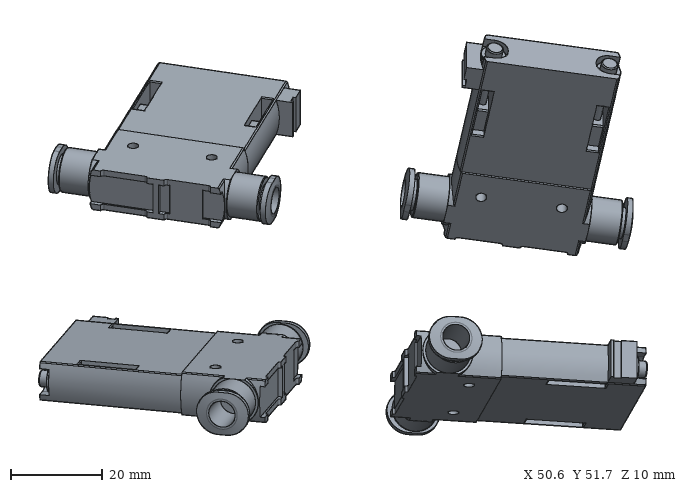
import cadquery as cq
import math


half_width = 15.5
side_radius = 12.95
body_half_height = 10.0 / 2
cover_half_height = 4.5
edge_drop = 0.2
edge_inset = 0.35

split_y = 19.05
cover_end_y = 51.3
screw_top_y = 51.7

recess_depth = 0.55
recess_inner_x = 1.95
recess_outer_x = 12.55
pocket_depth = 1.05
pocket_half_height = 3.55
outer_reach = 20.7
pocket_spans = [(-outer_reach, -0.55), (0.7, 3.05), (10.55, outer_reach)]

mount_hole_diameter = 2.4
mount_hole_x = 9.0
mount_hole_y = 12.95

port_y = 6.9
port_root_x = 12.95
boss_diameter = 11.15
boss_face_x = 15.8
sleeve_diameter = 2 * body_half_height
sleeve_end_x = 22.8
sleeve_chamfer = 0.2

collet_end_x = 50.6 / 2
neck_diameter = 7.0
bore_diameter = 6.0
flange_back_x = 23.7
flange_edge_x = 24.85
flange_width = 11.8
flange_height = 9.8

clamp_x = 12.75
recess_diameter = 6.0
recess_floor_y = 49.1
collar_diameter = 5.7
collar_thickness = 0.5
collar_chamfer = 0.1
head_diameter = 3.7
head_chamfer = 0.25
shank_diameter = 1.65
slot_width = 2.7
slot_front_y = 29.9
slot_back_y = 42.75
slot_chamfer = 0.25
nut_back_y = 35.75
nut_half_height = 2.65
nut_chamfer = 0.3

connector_front_y = 42.75
connector_back_y = 48.6
connector_end_x = 18.55
connector_half_height = cover_half_height - edge_drop
connector_root_x = 14.2
notch_floor_x = 17.95
notch_front_y = 43.4
notch_back_y = 45.15


def side_x(z):
    """Half width of the barrel-shaped housing at height z."""
    return half_width - side_radius + math.sqrt(side_radius**2 - z**2)


def barrel(half_height, y_start, y_end):
    """Housing section with bulging sides and bevelled long edges."""
    edge_z = half_height - edge_drop
    edge_x = side_x(edge_z)
    top_x = edge_x - edge_inset
    return (
        cq.Workplane("XZ", origin=(0, y_start, 0))
        .moveTo(-top_x, half_height)
        .lineTo(top_x, half_height)
        .lineTo(edge_x, edge_z)
        .threePointArc((half_width, 0), (edge_x, -edge_z))
        .lineTo(top_x, -half_height)
        .lineTo(-top_x, -half_height)
        .lineTo(-edge_x, -edge_z)
        .threePointArc((-half_width, 0), (-edge_x, edge_z))
        .close()
        .extrude(y_start - y_end)
    )


def block(x_range, y_range, half_height):
    """Box symmetric about Z = 0."""
    (x0, x1), (y0, y1) = x_range, y_range
    return (
        cq.Workplane("XY", origin=((x0 + x1) / 2, (y0 + y1) / 2, 0))
        .box(x1 - x0, y1 - y0, 2 * half_height)
    )


def x_cylinder(diameter, x_start, x_end):
    """Cylinder on the +X port axis."""
    return (
        cq.Workplane("YZ", origin=(x_start, port_y, 0))
        .circle(diameter / 2)
        .extrude(x_end - x_start)
    )


def y_cylinder(diameter, x, y_start, y_end):
    """Cylinder along Y at height zero."""
    return (
        cq.Workplane("XZ", origin=(x, y_start, 0))
        .circle(diameter / 2)
        .extrude(y_start - y_end)
    )


def both_sides(part):
    """The part and its copy mirrored to the other side of X = 0."""
    return [part, part.mirror("YZ")]



def front_recess():
    """Shallow recess on the +X half of the front face, with concave rounded ends."""
    corner = recess_depth * (1 - math.sqrt(0.5))
    return (
        cq.Workplane("XY", origin=(0, 0, -body_half_height))
        .moveTo(recess_inner_x, 0)
        .threePointArc(
            (recess_inner_x + corner, recess_depth - corner),
            (recess_inner_x + recess_depth, recess_depth),
        )
        .lineTo(recess_outer_x - recess_depth, recess_depth)
        .threePointArc(
            (recess_outer_x - corner, recess_depth - corner),
            (recess_outer_x, 0),
        )
        .close()
        .extrude(2 * body_half_height)
    )


def port():
    """Boss with flat top and bottom, carrying the round sleeve."""
    flats = block((0, boss_face_x), (0, 2 * port_y), body_half_height)
    boss = x_cylinder(boss_diameter, port_root_x, boss_face_x).intersect(flats)
    sleeve = x_cylinder(sleeve_diameter, port_root_x, sleeve_end_x)
    sleeve = sleeve.faces(">X").chamfer(sleeve_chamfer)
    return boss.union(sleeve)


def make_body():
    body = barrel(body_half_height, 0, split_y)
    for recess in both_sides(front_recess()):
        body = body.cut(recess)
    for span in pocket_spans:
        body = body.cut(block(span, (0, pocket_depth), pocket_half_height))
    for side_port in both_sides(port()):
        body = body.union(side_port)
    for socket in both_sides(x_cylinder(neck_diameter, boss_face_x, sleeve_end_x)):
        body = body.cut(socket)
    mount_holes = (
        cq.Workplane("XY", origin=(0, mount_hole_y, -body_half_height))
        .pushPoints([(-mount_hole_x, 0), (mount_hole_x, 0)])
        .circle(mount_hole_diameter / 2)
        .extrude(2 * body_half_height)
    )
    return body.cut(mount_holes)



def connector():
    """Plug block with a latch notch in its end face."""
    solid = block(
        (connector_root_x, connector_end_x),
        (connector_front_y, connector_back_y),
        connector_half_height,
    )
    notch = block((notch_floor_x, connector_end_x), (notch_front_y, notch_back_y), connector_half_height)
    return solid.cut(notch)


def clamp_slot():
    """Slot through the cover, bevelled at both ends of its top and bottom openings."""
    low_z = cover_half_height - slot_chamfer
    outline = [
        (slot_front_y, -low_z),
        (slot_front_y, low_z),
        (slot_front_y - slot_chamfer, cover_half_height),
        (slot_back_y + slot_chamfer, cover_half_height),
        (slot_back_y, low_z),
        (slot_back_y, -low_z),
        (slot_back_y + slot_chamfer, -cover_half_height),
        (slot_front_y - slot_chamfer, -cover_half_height),
    ]
    return (
        cq.Workplane("YZ", origin=(clamp_x - slot_width / 2, 0, 0))
        .polyline(outline)
        .close()
        .extrude(slot_width)
    )


def head_recess():
    """U-shaped recess for the screw head, open to the side and the rear."""
    round_end = y_cylinder(recess_diameter, clamp_x, recess_floor_y, cover_end_y)
    opening = block((clamp_x, outer_reach), (recess_floor_y, cover_end_y), recess_diameter / 2)
    return round_end.union(opening)


def make_cover():
    cover = barrel(cover_half_height, split_y, cover_end_y)
    cover = cover.union(connector())
    screw_hole = y_cylinder(shank_diameter, clamp_x, slot_back_y, recess_floor_y)
    for cutter in (head_recess(), screw_hole, clamp_slot()):
        for copy in both_sides(cutter):
            cover = cover.cut(copy)
    return cover



def make_collet():
    """Tube with an oblong flange whose outer face is slightly conical."""
    flange_radius = flange_width / 2
    turned = (
        cq.Workplane("XY", origin=(0, port_y, 0))
        .polyline([
            (boss_face_x, 0),
            (boss_face_x, neck_diameter / 2),
            (flange_back_x, neck_diameter / 2),
            (flange_back_x, flange_radius),
            (flange_edge_x, flange_radius),
            (collet_end_x, neck_diameter / 2),
            (collet_end_x, 0),
        ])
        .close()
        .revolve(360, (0, 0, 0), (1, 0, 0))
    )
    oblong = (
        cq.Workplane("YZ", origin=(boss_face_x, port_y, 0))
        .slot2D(flange_width, flange_height)
        .extrude(collet_end_x - boss_face_x)
    )
    bore = x_cylinder(bore_diameter, boss_face_x, collet_end_x)
    return turned.intersect(oblong).cut(bore)



def make_screw():
    collar_top_y = recess_floor_y + collar_thickness
    head = y_cylinder(head_diameter, clamp_x, collar_top_y, screw_top_y)
    head = head.faces(">Y").chamfer(head_chamfer)
    collar = y_cylinder(collar_diameter, clamp_x, recess_floor_y, collar_top_y)
    collar = collar.faces(">Y").chamfer(collar_chamfer)
    shank = y_cylinder(shank_diameter, clamp_x, slot_front_y, recess_floor_y)
    return shank.union(collar).union(head)


def make_nut():
    half_slot = slot_width / 2
    nut = block((clamp_x - half_slot, clamp_x + half_slot), (slot_front_y, nut_back_y), nut_half_height)
    nut = nut.faces(">Y").edges("|X").chamfer(nut_chamfer)
    return nut.cut(y_cylinder(shank_diameter, clamp_x, slot_front_y, nut_back_y))


body = make_body()
cover = make_cover()
collets = both_sides(make_collet())
screws = both_sides(make_screw())
nuts = both_sides(make_nut())

pairs = [part.val() for part in collets + screws + nuts]
result = cq.Compound.makeCompound([body.val(), cover.val(), *pairs])